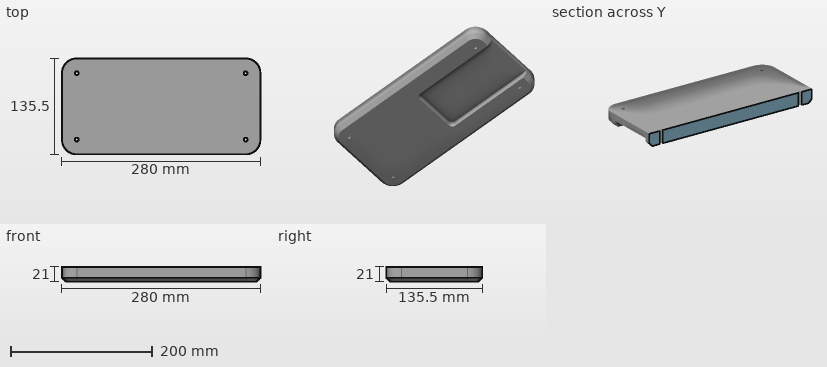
import cadquery as cq

length = 280.0
width = 135.5
height = 21.0
corner_radius = 21.0
bottom_chamfer = 6.0

hole_diameter = 5.0
hole_spacing_x = length - 2 * corner_radius
hole_spacing_y = width - 2 * corner_radius

pocket_width = 75.0
pocket_height = 11.0
pocket_depth = length / 2
pocket_corner_radius = 7.0


def make_plate():
    """Rounded plate standing on Z = 0 with a chamfered bottom rim."""
    plate = cq.Workplane("XY").box(length, width, height, centered=(True, True, False))
    plate = plate.edges("|Z").fillet(corner_radius)
    return plate.faces("<Z").edges().chamfer(bottom_chamfer)


def make_holes():
    """Four vertical pins that cut the corner holes."""
    return (
        cq.Workplane("XY")
        .rect(hole_spacing_x, hole_spacing_y, forConstruction=True)
        .vertices()
        .circle(hole_diameter / 2)
        .extrude(height)
    )


def make_pocket():
    """Block that cuts the pocket, with its inner vertical edges rounded."""
    block = cq.Workplane("XY").box(
        pocket_depth, pocket_width, pocket_height, centered=(False, True, False)
    )
    block = block.edges("|Z and >X").fillet(pocket_corner_radius)
    return block.translate((-length / 2, 0, 0))


result = make_plate().cut(make_holes()).cut(make_pocket())